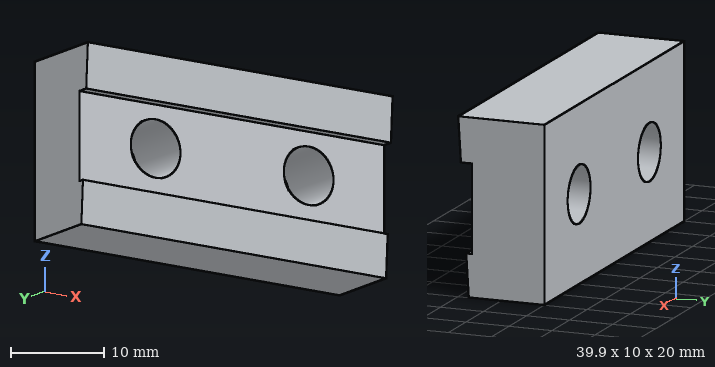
import cadquery as cq
import math

length = 39.88
depth = 10.0
height = 19.98
front_lean = 3.5

channel_floor_depth = 8.4
channel_width = 10.0
lower_lip_height = 4.85

hole_diameter = 6.5
hole_spacing = 20.0
first_hole_x = 9.97
hole_z = height / 2


def front_y(z):
    """Y of the leaning front face at height z."""
    return -depth + (height - z) * math.tan(math.radians(front_lean))


def make_profile_bar():
    """Bar along X with the leaning front and its channel."""
    channel_bottom = lower_lip_height
    channel_top = channel_bottom + channel_width
    outline = [
        (0, 0),
        (front_y(0), 0),
        (front_y(channel_bottom), channel_bottom),
        (-channel_floor_depth, channel_bottom),
        (-channel_floor_depth, channel_top),
        (front_y(channel_top), channel_top),
        (-depth, height),
        (0, height),
    ]
    return cq.Workplane("YZ").polyline(outline).close().extrude(length)


def make_holes():
    """Cylinders running through the full depth."""
    centers = [(first_hole_x + i * hole_spacing, hole_z) for i in range(2)]
    return cq.Workplane("XZ").pushPoints(centers).circle(hole_diameter / 2).extrude(depth)


result = make_profile_bar().cut(make_holes())